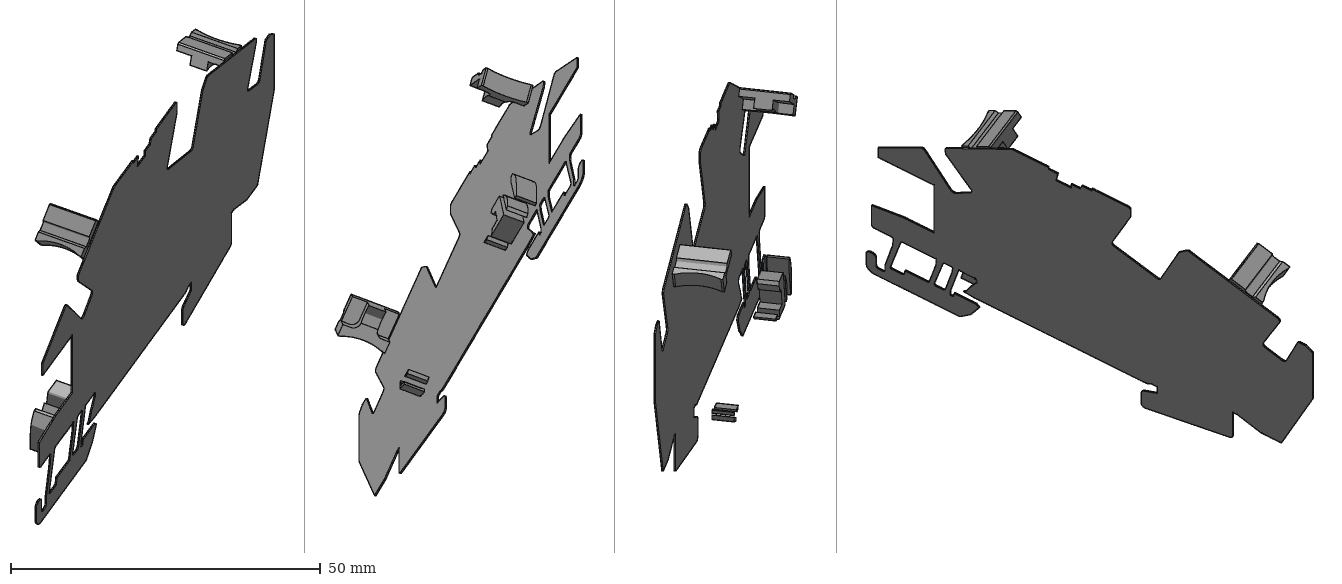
import cadquery as cq
import math

TOTAL_WIDTH = 9.2
PLATE_THICKNESS = 0.25
PLATE_BACK_X = TOTAL_WIDTH / 2
PLATE_FRONT_X = PLATE_BACK_X - PLATE_THICKNESS
MARKER_WIDTH = 8.4
MARKER_FRONT_X = -TOTAL_WIDTH / 2
MIDDLE_X = MARKER_FRONT_X + MARKER_WIDTH / 2
INSERT_WIDTH = 3.6
INSERT_FRONT_X = MIDDLE_X - INSERT_WIDTH / 2

TOP_Z = 26.4
BOTTOM_Z = -TOP_Z
HALF_LENGTH = 42.3
RAIL_Z = -19.3
WINDOW_TOP_Z = -13.9
WINDOW_BOTTOM_Z = -21.3
FOOT_TOP_Z = -20.8
CLAMP_FOOT_Y = -21.5

LONG_SHOULDER_ANGLE = 20.0
SHORT_SHOULDER_ANGLE = 35.0

MARKER_LENGTH = 6.5
MARKER_DEPTH = 3.1
MARKER_GROOVE_START = 1.4
MARKER_GROOVE_END = 3.5
MARKER_GROOVE_SIDE = 0.4
MARKER_GROOVE_DEPTH = 0.5
MARKER_RECESS_START = 2.0
MARKER_RECESS_TOP = 1.4
MARKER_RECESS_RADIUS = 1.3
MARKER_TONGUE_WIDTH = 3.05
MARKER_TONGUE_HOLLOW = 0.3
MARKER_TOP_CHAMFER = 0.25
MARKER_SCOOP_DEPTH = 0.8
MARKER_SCOOP_MARGIN = 0.3

NUB_TOP_WIDTH = 1.5
NUB_TIP_WIDTH = 0.7
NUB_HEIGHT = 0.6
NUB_CENTRES_Y = (10.3, -19.6)

NARROW_WINDOW = [
    (-25.9, WINDOW_TOP_Z, 0.3), (-27.7, WINDOW_TOP_Z, 0.4), (-29.5, WINDOW_BOTTOM_Z, 0.4),
    (-27.4, WINDOW_BOTTOM_Z, 0.5), (-26.1, -15.4),
]
WIDE_WINDOW = [
    (-29.0, WINDOW_TOP_Z), (-35.7, WINDOW_TOP_Z, 0.4), (-37.8, -22.7, 0.3), (-35.2, -22.7, 0.3),
    (-34.95, WINDOW_BOTTOM_Z), (-30.5, WINDOW_BOTTOM_Z), (-29.1, -15.6),
]


def toward(start, end, distance):
    """Point at a distance from start on the straight line to end."""
    length = math.dist(start, end)
    return tuple(a + (b - a) * distance / length for a, b in zip(start, end))


def rounded_outline(sketch_plane, corners):
    """Closed outline through (y, z) corners; a third number rounds that corner to this radius."""
    outline = sketch_plane
    for index, (y, z, *rounding) in enumerate(corners):
        corner = (y, z)
        before = corners[index - 1][:2]
        after = corners[(index + 1) % len(corners)][:2]
        start = corner
        if rounding:
            radius = rounding[0]
            back = toward(corner, before, 0.85)
            ahead = toward(corner, after, 0.85)
            half_angle = math.asin(math.dist(back, ahead) / 1.7)
            cut_back = radius / math.tan(half_angle)
            start = toward(corner, before, cut_back)
        outline = outline.moveTo(*start) if index == 0 else outline.lineTo(*start)
        if rounding:
            chord_middle = ((back[0] + ahead[0]) / 2, (back[1] + ahead[1]) / 2)
            arc_middle = toward(corner, chord_middle, radius / math.sin(half_angle) - radius)
            outline = outline.threePointArc(arc_middle, toward(corner, after, cut_back))
    return outline.close()


def plate_slab(corners):
    """Slab of plate thickness with the given (y, z) outline."""
    sketch_plane = cq.Workplane("YZ", origin=(PLATE_FRONT_X, 0, 0))
    return rounded_outline(sketch_plane, corners).extrude(PLATE_THICKNESS)


def insert_block(corners):
    """Block of insert width with the given (y, z) outline."""
    sketch_plane = cq.Workplane("YZ", origin=(INSERT_FRONT_X, 0, 0))
    return rounded_outline(sketch_plane, corners).extrude(INSERT_WIDTH)


def make_plate():
    long_end = [(32.6, -17.3), (36.4, -17.3), (HALF_LENGTH, -1.0), (HALF_LENGTH, 11.6), (40.95, 12.6)]
    long_shoulder = [
        (39.5, 12.6, 0.3), (37.1, 5.2, 0.7), (32.7, 6.85, 0.7),
        (36.3, 16.1, 0.8), (18.6, 22.6, 0.4), (16.9, 20.8), (13.3, 10.7, 0.5), (4.1, 14.0, 0.7),
    ]
    top_edge = [
        (7.8, 23.95), (7.8, TOP_Z, 0.6),
        (0.4, TOP_Z), (0.4, 25.9), (-1.4, 25.9), (-1.8, 24.9), (-3.5, 24.9), (-3.5, 23.9),
        (-6.35, 23.9), (-6.0, 25.9), (-7.8, 25.9), (-7.8, TOP_Z),
    ]
    short_shoulder = [
        (-14.6, TOP_Z), (-27.4, 17.5, 0.8), (-27.25, 16.1, 0.5),
        (-22.0, 9.3, 0.8), (-25.9, 6.3, 0.8), (-31.6, 14.7, 0.6),
    ]
    short_end = [
        (-40.0, 8.6), (-40.0, 6.0), (-29.45, 6.0), (-29.45, -7.0), (-35.2, -7.0), (-41.3, -8.0),
        (-41.3, WINDOW_TOP_Z, 0.6), (-37.15, WINDOW_TOP_Z, 0.4),
    ]
    release_hook = [
        (-37.3, -16.1), (-38.75, -22.5), (-38.75, -24.45, 0.5), (-40.45, -24.45, 0.5), (-40.45, -21.0, 0.85),
        (-HALF_LENGTH, -21.0, 0.85), (-HALF_LENGTH, BOTTOM_Z, 1.7),
    ]
    clamp_foot = [
        (-24.5, BOTTOM_Z), (-22.4, -24.3), (-20.9, -21.4), (CLAMP_FOOT_Y, FOOT_TOP_Z),
        (-25.6, FOOT_TOP_Z), (-25.8, -21.8), (-26.4, -21.8), (-26.4, FOOT_TOP_Z),
    ]
    clamp_gap = [
        (-24.8, WINDOW_TOP_Z), (-21.3, WINDOW_TOP_Z, 0.3), (-21.3, -14.8), (-22.7, -17.1),
        (-23.35, -18.6), (-23.9, -19.0), (-21.7, RAIL_Z),
    ]
    fixed_foot = [
        (10.9, RAIL_Z), (11.8, -18.8), (12.9, -18.8), (12.9, -20.6), (9.8, -22.0, 1.0),
        (9.8, -26.4, 0.8), (27.2, -22.6, 0.8), (27.2, -15.5), (28.0, -15.5),
    ]
    plate = plate_slab(
        long_end + long_shoulder + top_edge + short_shoulder + short_end
        + release_hook + clamp_foot + clamp_gap + fixed_foot
    )
    for window in (NARROW_WINDOW, WIDE_WINDOW):
        plate = plate.cut(plate_slab(window))
    return plate


def make_marker(shoulder_start, shoulder_angle, faces_front):
    """Marker block rising along a shoulder from its (y, z) start; it climbs toward -Y or +Y."""
    half_width = MARKER_WIDTH / 2
    marker = cq.Workplane("XY").box(
        MARKER_WIDTH, MARKER_LENGTH, MARKER_DEPTH, centered=(True, False, False)
    ).translate((0, -MARKER_LENGTH, -MARKER_DEPTH))

    marker = marker.edges("<Y and >Z").chamfer(MARKER_TOP_CHAMFER)

    floor_start = MARKER_GROOVE_START + MARKER_GROOVE_SIDE
    floor_end = MARKER_GROOVE_END - MARKER_GROOVE_SIDE
    groove = (
        cq.Workplane("YZ", origin=(-half_width, 0, 0))
        .moveTo(-MARKER_GROOVE_START, 0)
        .lineTo(-floor_start, -MARKER_GROOVE_DEPTH)
        .lineTo(-floor_end, -MARKER_GROOVE_DEPTH)
        .radiusArc((-MARKER_GROOVE_END, 0), MARKER_GROOVE_DEPTH)
        .close().extrude(MARKER_WIDTH)
    )
    marker = marker.cut(groove)

    recess_width = (MARKER_WIDTH - MARKER_TONGUE_WIDTH) / 2
    recess_length = MARKER_LENGTH - MARKER_RECESS_START
    recess_height = MARKER_DEPTH - MARKER_RECESS_TOP
    for side in (-1, 1):
        recess = (
            cq.Workplane("XY")
            .box(recess_width, recess_length, recess_height)
            .edges("|Z and >Y").edges("<X" if side > 0 else ">X")
            .fillet(MARKER_RECESS_RADIUS)
            .translate((
                side * (half_width - recess_width / 2),
                -MARKER_RECESS_START - recess_length / 2,
                -MARKER_RECESS_TOP - recess_height / 2,
            ))
        )
        marker = marker.cut(recess)

    hollow_start = MARKER_RECESS_START + MARKER_RECESS_RADIUS
    hollow_middle = (hollow_start + MARKER_LENGTH) / 2
    hollow = (
        cq.Workplane("YZ", origin=(-half_width, 0, 0))
        .moveTo(-hollow_start, -MARKER_DEPTH)
        .threePointArc(
            (-hollow_middle, MARKER_TONGUE_HOLLOW - MARKER_DEPTH), (-MARKER_LENGTH, -MARKER_DEPTH)
        )
        .close().extrude(MARKER_WIDTH)
    )
    marker = marker.cut(hollow)

    scoop_half_width = half_width - MARKER_SCOOP_MARGIN
    scoop = (
        cq.Workplane("XY").moveTo(-scoop_half_width, 0)
        .threePointArc((0, -MARKER_SCOOP_DEPTH), (scoop_half_width, 0))
        .close().extrude(-MARKER_DEPTH)
    )
    marker = marker.cut(scoop)

    marker = marker.rotate((0, 0, 0), (1, 0, 0), -shoulder_angle)
    if not faces_front:
        marker = marker.rotate((0, 0, 0), (0, 0, 1), 180)
    return marker.translate((MIDDLE_X, *shoulder_start))


def make_clamp_block():
    """Block that fills the gap between the rail edge and the first leg of the clamp foot."""
    return insert_block([
        (-21.75, WINDOW_TOP_Z), (-24.8, WINDOW_TOP_Z, 0.3), (-26.3, FOOT_TOP_Z), (CLAMP_FOOT_Y, FOOT_TOP_Z),
        (-21.8, -20.5), (-21.8, RAIL_Z), (-23.8, RAIL_Z), (-23.6, -18.0), (-23.2, -16.25),
        (-22.5, -16.25), (-21.6, -14.6),
    ])


def make_narrow_pad():
    """Curved pad on the leg in the narrow window."""
    start, end = (-26.1, -15.2), (-27.3, -20.7)
    return (
        cq.Workplane("YZ", origin=(INSERT_FRONT_X, 0, 0))
        .moveTo(*start).threePointArc((-27.5, -17.6), (-27.75, -20.1))
        .lineTo(*end).close().extrude(INSERT_WIDTH)
    )


def make_wide_pad():
    """Curved pad on the leg in the wide window."""
    outer_y = -31.05
    return (
        cq.Workplane("YZ", origin=(INSERT_FRONT_X, 0, 0))
        .moveTo(-29.1, WINDOW_TOP_Z).lineTo(-29.7, WINDOW_TOP_Z)
        .threePointArc((-30.7, -15.7), (outer_y, -18.0))
        .lineTo(outer_y, WINDOW_BOTTOM_Z).lineTo(-30.5, WINDOW_BOTTOM_Z).lineTo(-29.1, -15.6)
        .close().extrude(INSERT_WIDTH)
    )


def make_nub(centre_y):
    """Stop nub that narrows downward from the rail edge."""
    tip_z = RAIL_Z - NUB_HEIGHT
    return insert_block([
        (centre_y + NUB_TOP_WIDTH / 2, RAIL_Z), (centre_y - NUB_TOP_WIDTH / 2, RAIL_Z),
        (centre_y - NUB_TIP_WIDTH / 2, tip_z), (centre_y + NUB_TIP_WIDTH / 2, tip_z),
    ])


def make_foot_wedge():
    """Sloped wedge on top of the fixed foot."""
    return insert_block([(12.9, -19.7), (11.2, -20.65), (11.2, -21.3), (12.9, -20.6)])


def make_corner_strip():
    """Small strip in the upper corner above the fixed foot."""
    return insert_block([(12.9, -18.8), (12.5, -18.8), (12.5, -19.4), (12.9, -19.4)])


plate = make_plate()
markers = [
    make_marker((32.3, 17.3), LONG_SHOULDER_ANGLE, True),
    make_marker((-24.7, 19.1), SHORT_SHOULDER_ANGLE, False),
]
clamp_block = make_clamp_block()
narrow_pad = make_narrow_pad()
wide_pad = make_wide_pad()
nubs = [make_nub(centre_y) for centre_y in NUB_CENTRES_Y]
foot_wedge = make_foot_wedge()
corner_strip = make_corner_strip()

result = cq.Compound.makeCompound([
    plate.val(),
    *[marker.val() for marker in markers],
    clamp_block.val(),
    narrow_pad.val(),
    wide_pad.val(),
    *[nub.val() for nub in nubs],
    foot_wedge.val(),
    corner_strip.val(),
])